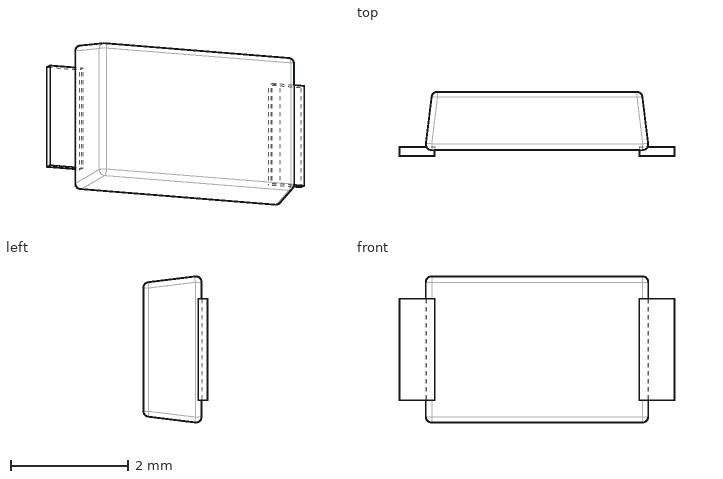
import cadquery as cq
import math

overall_length = 4.7
housing_length = 3.8
housing_width = 2.5
housing_depth = 0.995
draft_angle = 7.0
edge_radius = 0.1

lead_length = 0.6
lead_width = 1.74
lead_thickness = 0.16
lead_standoff = 0.105

corner_half_angle = math.radians((90 - draft_angle) / 2)
sharp_edge_margin = edge_radius * (1 / math.tan(corner_half_angle) - 1)


def make_lead(side):
    """Flat lead at one end of the housing; side is -1 or +1 along X."""
    center_x = side * (overall_length - lead_length) / 2
    center_y = lead_thickness / 2 - lead_standoff
    return (
        cq.Workplane("XY")
        .box(lead_length, lead_thickness, lead_width)
        .translate((center_x, center_y, 0))
    )


def make_housing():
    """Drafted block with every edge rounded; its base lies at Y = 0."""
    sharp_length = housing_length + 2 * sharp_edge_margin
    sharp_width = housing_width + 2 * sharp_edge_margin
    return (
        cq.Workplane("XZ")
        .rect(sharp_length, sharp_width)
        .extrude(-housing_depth, taper=draft_angle)
        .edges()
        .fillet(edge_radius)
    )


leads = [make_lead(side) for side in (-1, 1)]

housing = make_housing()
for lead in leads:
    housing = housing.cut(lead)

result = cq.Compound.makeCompound([housing.solids().val(), *[lead.val() for lead in leads]])